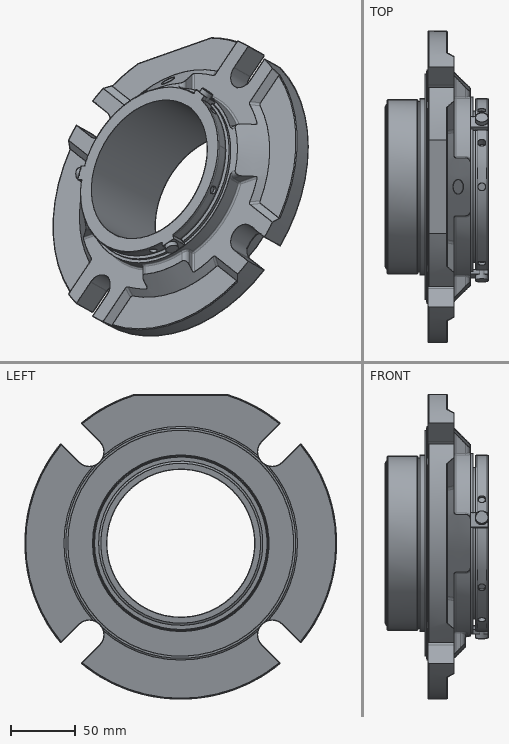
import cadquery as cq
import math

overall_length = 79.63
bore_dia = 114.3

nose_dia = 126.97
nose_length = 1.5
nose_bevel_length = 0.8
nose_bevel_depth = 1.7
spigot_dia = 134.93
spigot_edge = 0.8
relief_start = 25.3
relief_end = 26.8
relief_dia = 132.03
shoulder_dia = 136.47

gasket_face = 30.6
gasket_land_end = 31.9
gasket_land_dia = 174.62
gasket_step_dia = 180.6
gasket_bevel_length = 0.5
gasket_bevel_depth = 1.3
flange_front = 33.0
flange_back = 48.2
flange_dia = 241.05
flange_edge = 0.7
flange_flat_height = 115.0

pad_back = 53.3
pad_base_half_width = 29.3
pad_root_radius = 3.0
bolt_slot_width = 22.5
bolt_slot_centre_radius = 100.0
bolt_slot_angles = (45, 135, 225, 315)

cone_base_radius = 93.9
boss_half_width = 22.4
boss_back = 65.9
lower_boss_back = 62.0
boss_backs = {0: boss_back, 90: boss_back, 180: boss_back, 270: lower_boss_back}
boss_corner_radius = 4.0
hub_dia = 144.0
hub_foot_radius = 1.4
flush_hole_dia = 11.25
flush_hole_x = 56.5
flush_hole_depth = 0.3

hub_lip_back = 68.0
hub_lip_dia = 139.0
sleeve_dia = 117.45
collar_front = 69.9
collar_dia = 136.47
collar_bevel_length = 1.3
collar_bevel_depth = 0.4

clip_angles = (44.4, 164.4, 284.4)
clip_width = 11.4
clip_outer_radius = 71.3
clip_inner_radius = 67.5
clip_shift = 1.0
clip_screw_dia = 10.0
screw_x = overall_length - clip_screw_dia / 2
clip_screw_top_radius = 75.1
shallow_screw_angles = (30, 90, 150, 210, 270, 330)
deep_screw_angles = (60, 240)
set_screw_dia = 6.0
shallow_screw_depth = 2.5
deep_screw_depth = 8.0


def revolve_about_x(points):
    """Revolve an (x, radius) outline about the part's axis."""
    outline = cq.Workplane("XY").polyline(points).close()
    return outline.revolve(360, (0, 0, 0), (1, 0, 0))


def tube(x_start, x_end, dia):
    """Solid disc along X."""
    return cq.Workplane("YZ", origin=(x_start, 0, 0)).circle(dia / 2).extrude(x_end - x_start)


def bevelled_tube(x_start, x_end, dia, bevel_length, bevel_depth):
    """Solid disc along X whose front edge has an uneven bevel."""
    radius = dia / 2
    return revolve_about_x([
        (x_start, 0),
        (x_start, radius - bevel_depth),
        (x_start + bevel_length, radius),
        (x_end, radius),
        (x_end, 0),
    ])


def turn(shape, angle):
    """Turn a shape made on +Y about X; 90 degrees is +Z."""
    return shape.rotate((0, 0, 0), (1, 0, 0), angle)


def spigot():
    """Stepped front end, up to the gasket face and flange."""
    body = bevelled_tube(0, flange_front, nose_dia, nose_bevel_length, nose_bevel_depth)
    body = body.union(tube(nose_length, relief_start, spigot_dia).edges().chamfer(spigot_edge))
    body = body.union(tube(nose_length + spigot_edge, gasket_face, relief_dia))
    body = body.union(tube(relief_end, gasket_face, shoulder_dia))
    body = body.union(tube(gasket_face, flange_front, gasket_land_dia))
    return body.union(bevelled_tube(
        gasket_land_end, flange_front, gasket_step_dia, gasket_bevel_length, gasket_bevel_depth
    ))


def cone(x_start, x_end):
    """Slice of the 45 degree hub cone."""
    start_radius = cone_base_radius - (x_start - flange_back)
    end_radius = cone_base_radius - (x_end - flange_back)
    return revolve_about_x([
        (x_start, 0),
        (x_start, start_radius),
        (x_end, end_radius),
        (x_end, 0),
    ])


def pad_bar(angle, x_start, x_end):
    """Bar along one bolt slot, its two long sides sloping in at 45 degrees."""
    start_half_width = pad_base_half_width - (x_start - flange_back)
    end_half_width = pad_base_half_width - (x_end - flange_back)
    section = [
        (x_start, start_half_width),
        (x_end, end_half_width),
        (x_end, -end_half_width),
        (x_start, -start_half_width),
    ]
    bar = cq.Workplane("XZ").polyline(section).close().extrude(-flange_dia)
    return turn(bar, angle)


def rear_envelope():
    """Limits of the pads and hub: the cone and the pad bars, rounded where they meet."""
    x_start = flange_back - pad_root_radius
    body = cone(x_start, boss_back)
    for angle in bolt_slot_angles:
        body = body.union(pad_bar(angle, x_start, boss_back))
    body = body.edges("%PARABOLA").fillet(pad_root_radius)
    return body.intersect(tube(flange_back, boss_back, flange_dia))


def bolt_slot(angle):
    """Round-ended slot, open at the rim."""
    length = flange_dia
    slot = (
        cq.Workplane("YZ", origin=(gasket_face, 0, 0))
        .center(bolt_slot_centre_radius + length / 2, 0)
        .slot2D(length + bolt_slot_width, bolt_slot_width)
        .extrude(pad_back - gasket_face)
    )
    return turn(slot, angle)


def flange():
    """Disc with a flat on top and the roots of the pads."""
    above_flat = (
        cq.Workplane("XY", origin=((flange_front + flange_back) / 2, 0, flange_flat_height))
        .rect(overall_length, flange_dia)
        .extrude(flange_dia)
    )
    disc = tube(flange_front, flange_back, flange_dia).cut(above_flat)
    body = disc.faces("<X or >X").edges().chamfer(flange_edge)
    rim_band = tube(flange_back - flange_edge, flange_back, flange_dia)
    for angle in bolt_slot_angles:
        root = pad_bar(angle, flange_back - flange_edge, flange_back)
        body = body.union(root.intersect(rim_band))
    return body


def boss(angle, x_end):
    """Block with parallel sides and rounded back corners, reaching past the cone."""
    length = x_end - flange_back
    block = (
        cq.Workplane("YZ", origin=(flange_back, 0, 0))
        .center(flange_dia / 4, 0)
        .rect(flange_dia / 2, 2 * boss_half_width)
        .extrude(length)
    )
    block = block.edges("|Y and >X").fillet(boss_corner_radius)
    return turn(block, angle)


def foot_edges(body):
    """Inner corners, in the pad plane and along X, where the plate, hub and bosses meet."""
    def inside_rim(edge):
        centre = edge.Center()
        return math.hypot(centre.y, centre.z) < flange_dia / 2

    def in_pad_plane(edge):
        return abs(edge.Center().x - pad_back) < hub_foot_radius / 2

    return body.edges("|X").add(body.edges().filter(in_pad_plane)).filter(inside_rim)


def pads_and_hub():
    """Plate with the hub and four bosses, trimmed to the cone and the pad bars."""
    plate = cq.Workplane("YZ", origin=(flange_back, 0, 0)).rect(flange_dia, flange_dia)
    body = plate.extrude(pad_back - flange_back).union(tube(flange_back, boss_back, hub_dia))
    for angle, x_end in boss_backs.items():
        body = body.union(boss(angle, x_end))
    body = foot_edges(body).fillet(hub_foot_radius)
    body = body.intersect(rear_envelope())
    return body.union(tube(boss_back, hub_lip_back, hub_lip_dia))


def flush_hole():
    """Shallow round recess square to the upper boss's conical face."""
    hole_radius = cone_base_radius - (flush_hole_x - flange_back)
    hole_plane = cq.Plane((flush_hole_x, 0, hole_radius), (0, 1, 0), (-1, 0, -1))
    return cq.Workplane(hole_plane).circle(flush_hole_dia / 2).extrude(flush_hole_depth)


def radial_pin(dia, inner_radius, outer_radius, angle):
    """Round pin pointing outward from the collar."""
    pin = (
        cq.Workplane("XZ", origin=(screw_x, inner_radius, 0))
        .circle(dia / 2)
        .extrude(inner_radius - outer_radius)
    )
    return turn(pin, angle)


def setting_clip(angle):
    """Flat clip bridging the hub lip and the collar."""
    length = overall_length - boss_back
    depth = clip_outer_radius - clip_inner_radius
    block = cq.Workplane("XY").box(length, depth, clip_width).translate((
        boss_back + length / 2,
        clip_outer_radius - depth / 2,
        clip_shift,
    ))
    return turn(block, angle)


def collar():
    """Drive collar on the sleeve, with set screw holes, clips and clip screws."""
    middle = (collar_front + overall_length) / 2
    front_half = bevelled_tube(collar_front, middle, collar_dia, collar_bevel_length, collar_bevel_depth)
    rear_half = front_half.mirror("YZ", (middle, 0, 0))
    body = front_half.union(rear_half)
    body = body.union(tube(hub_lip_back, middle, sleeve_dia))
    collar_radius = collar_dia / 2
    shallow_floor = collar_radius - shallow_screw_depth
    deep_floor = collar_radius - deep_screw_depth
    for angle in shallow_screw_angles:
        body = body.cut(radial_pin(set_screw_dia, shallow_floor, clip_outer_radius, angle))
    for angle in deep_screw_angles:
        body = body.cut(radial_pin(set_screw_dia, deep_floor, clip_outer_radius, angle))
    for angle in clip_angles:
        body = body.union(setting_clip(angle))
        body = body.union(radial_pin(clip_screw_dia, collar_radius, clip_screw_top_radius, angle))
    return body


def bore():
    return tube(0, overall_length, bore_dia)


result = spigot().union(flange()).union(pads_and_hub())
for slot_angle in bolt_slot_angles:
    result = result.cut(bolt_slot(slot_angle))
result = result.cut(flush_hole()).union(collar()).cut(bore())